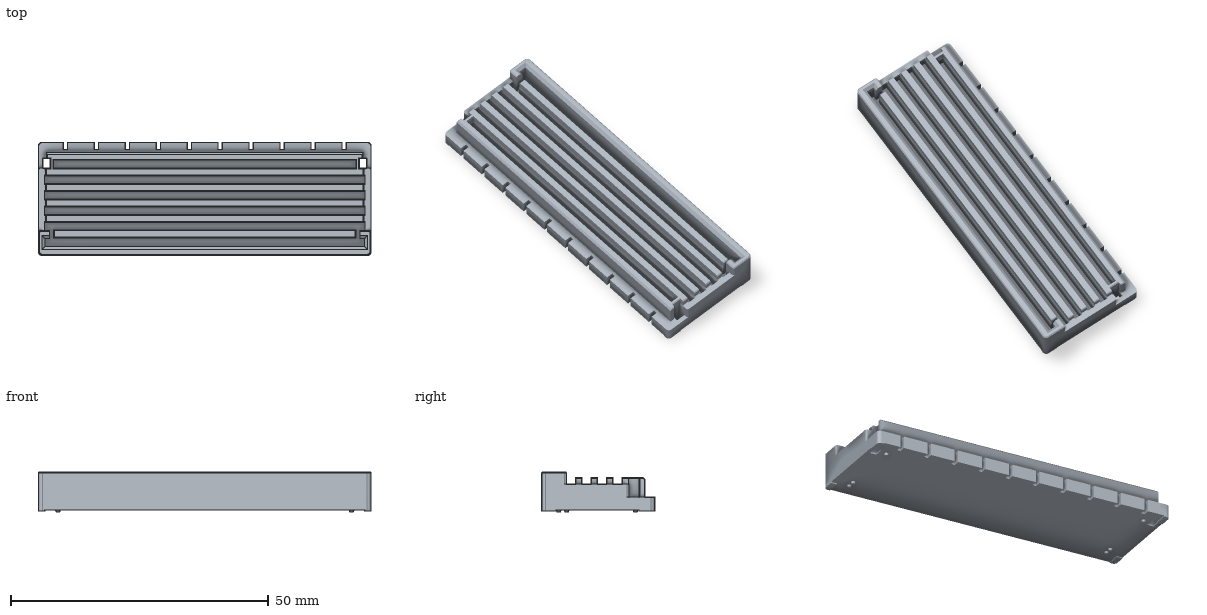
import cadquery as cq

length = 64.7
depth = 22.0
half_length = length / 2
corner_radius = 0.8
step_fillet = 0.4
rim_chamfer = 0.225
end_chamfer = 0.2

ledge_top = 2.7
shelf_top = 5.25
rib_top = 6.55
front_top = 7.65
floor_level = ledge_top

notch_count = 10
notch_pitch = 6.0
notch_width = 0.8
notch_depth = 1.35

rib_count = 5
rib_pitch = notch_pitch / 2
rib_root_width = rib_pitch / 2
rib_top_width = 1.2
rib_flare = (rib_root_width - rib_top_width) / 2
rib_flare_height = 0.5
flare_bottom = shelf_top - rib_flare_height
first_rib_y = 4.2
last_rib_y = first_rib_y + (rib_count - 1) * rib_pitch
rib_half_length = 30.9
short_half_length = 29.4

body_back_y = last_rib_y + rib_root_width / 2
pocket_half_length = 31.2

front_block_depth = 4.85
front_wall = 1.75
tray_half_length = 31.05
tray_back_y = 3.3
post_inner_x = 30.2
tray_bevel = 0.6

rear_wall_back_y = 20.05
rear_wall_half_length = 30.8
rear_bevel = 0.4
rear_groove_width = 1.55
rear_groove_back_y = body_back_y + rear_groove_width
end_wall_outer_x = 30.1
end_wall_back_y = 18.95

window_outer_x = 31.45
window_back_y = 18.9

pad_height = 0.2
pad_length = 1.3
front_pad_depth = 2.85
rear_pad_depth = 3.1
peg_drop = 0.2
peg_x = 28.55
peg_rows_y = (3.3, 4.85, 18.25)
peg_root_radius = 0.45
peg_tip_radius = 0.3


def block(x0, x1, y0, y1, z0, z1):
    """Axis-aligned box between two opposite corners."""
    return cq.Workplane("XY").box(x1 - x0, y1 - y0, z1 - z0, centered=False).translate((x0, y0, z0))


def centred_block(half_x, y0, y1, z0, z1):
    """Box that is symmetric about X = 0."""
    return block(-half_x, half_x, y0, y1, z0, z1)


def flared_opening(half_x, y0, y1, z0, z1, flare):
    """Tapered block, symmetric about X = 0, that grows by `flare` on every side from z0 to z1."""
    return (
        cq.Workplane("XY", origin=(0, (y0 + y1) / 2, z0))
        .rect(2 * half_x, y1 - y0)
        .workplane(offset=z1 - z0)
        .rect(2 * (half_x + flare), y1 - y0 + 2 * flare)
        .loft(ruled=True)
    )


def round_corners(solid, front_radius, rear_radius):
    """Round the vertical edges at the front and at the rear of a block."""
    solid = solid.edges("|Z and <Y").fillet(front_radius)
    return solid.edges("|Z and >Y").fillet(rear_radius)


def make_base():
    """Rear ledge, main body up to the shelf and the tall front block."""
    ledge = centred_block(half_length, 0, depth, 0, ledge_top)
    ledge = round_corners(ledge, corner_radius, corner_radius)
    body = centred_block(half_length, 0, body_back_y, 0, shelf_top)
    body = round_corners(body, corner_radius, step_fillet)
    front = centred_block(half_length, 0, front_block_depth, 0, front_top)
    front = round_corners(front, corner_radius, step_fillet)
    front = front.faces(">Z").edges().chamfer(rim_chamfer)
    return ledge.union(body).union(front)


def make_tray_cut():
    """Bevelled tray behind the front wall, open to the rear between the two posts."""
    tray = centred_block(tray_half_length, front_wall, tray_back_y, floor_level, front_top)
    bevel = flared_opening(
        tray_half_length, front_wall, tray_back_y, front_top - tray_bevel, front_top, tray_bevel
    )
    opening = centred_block(post_inner_x, front_wall, front_block_depth, floor_level, front_top)
    return tray.union(bevel).union(opening)


def make_rib_pocket_cut():
    """Pocket behind the posts, from which the ribs rise."""
    return centred_block(pocket_half_length, front_block_depth, body_back_y, floor_level, shelf_top)


def make_rib(index):
    """One rib; the frontmost is shorter and stands free of the pocket ends."""
    middle = first_rib_y + index * rib_pitch
    if index == 0:
        root_half_length = short_half_length
        top_half_length = short_half_length
    else:
        root_half_length = pocket_half_length
        top_half_length = rib_half_length
    half_root = rib_root_width / 2
    half_top = rib_top_width / 2
    root = (
        cq.Workplane("YZ", origin=(-root_half_length, middle, 0))
        .moveTo(-half_root, floor_level)
        .lineTo(half_root, floor_level)
        .lineTo(half_root, flare_bottom)
        .lineTo(half_top, shelf_top)
        .lineTo(-half_top, shelf_top)
        .lineTo(-half_root, flare_bottom)
        .close()
        .extrude(2 * root_half_length)
    )
    top = centred_block(top_half_length, middle - half_top, middle + half_top, shelf_top, rib_top)
    top = top.edges("|Y and >Z").chamfer(end_chamfer)
    return root.union(top)


def make_rear_frame():
    """Rear wall, bevelled along its back, and the end walls tying it to the last rib."""
    wall = centred_block(rear_wall_half_length, end_wall_back_y, rear_wall_back_y, ledge_top, rib_top)
    wall = wall.edges("|Z and <Y").chamfer(end_chamfer)
    wall = wall.edges(">Y and >Z").chamfer(rear_bevel)
    wall = wall.edges("|Y and >Z").chamfer(end_chamfer)
    tie = centred_block(end_wall_outer_x, last_rib_y, end_wall_back_y, ledge_top, rib_top)
    tie = tie.edges("|Y and >Z").chamfer(end_chamfer)
    return wall.union(tie)


def make_rear_groove_cut():
    """Closed groove between the last rib and the rear wall, flared like the ribs."""
    front_y = body_back_y
    back_y = rear_groove_back_y
    lower = centred_block(short_half_length, front_y, back_y, floor_level, flare_bottom)
    flare = flared_opening(short_half_length, front_y, back_y, flare_bottom, shelf_top, rib_flare)
    upper = centred_block(
        short_half_length + rib_flare, front_y - rib_flare, back_y + rib_flare, shelf_top, rib_top
    )
    return lower.union(flare).union(upper)


def make_windows():
    """Rectangular holes through the ledge beside the rear end walls."""
    window = block(end_wall_outer_x, window_outer_x, body_back_y, window_back_y, 0, ledge_top)
    return window.union(window.mirror("YZ"))


def make_notch(index):
    """One of the open notches through the rear edge of the ledge."""
    middle = (index - (notch_count - 1) / 2) * notch_pitch
    half_width = notch_width / 2
    return block(middle - half_width, middle + half_width, depth - notch_depth, depth, 0, ledge_top)


def make_underside_relief():
    """Shallow relief that leaves a pad standing at each bottom corner."""
    lengthwise = centred_block(half_length, front_pad_depth, depth - rear_pad_depth, 0, pad_height)
    crosswise = centred_block(half_length - pad_length, 0, depth, 0, pad_height)
    return lengthwise.union(crosswise)


def make_peg(x, y):
    """Small tapered peg hanging from the underside."""
    tip = cq.Vector(x, y, -peg_drop)
    return cq.Workplane(cq.Solid.makeCone(peg_tip_radius, peg_root_radius, pad_height + peg_drop, pnt=tip))


result = make_base().cut(make_tray_cut()).cut(make_rib_pocket_cut())
for rib_index in range(rib_count):
    result = result.union(make_rib(rib_index))
result = result.union(make_rear_frame()).cut(make_rear_groove_cut()).cut(make_windows())
for notch_index in range(notch_count):
    result = result.cut(make_notch(notch_index))
result = result.cut(make_underside_relief())
for peg_y in peg_rows_y:
    result = result.union(make_peg(-peg_x, peg_y)).union(make_peg(peg_x, peg_y))